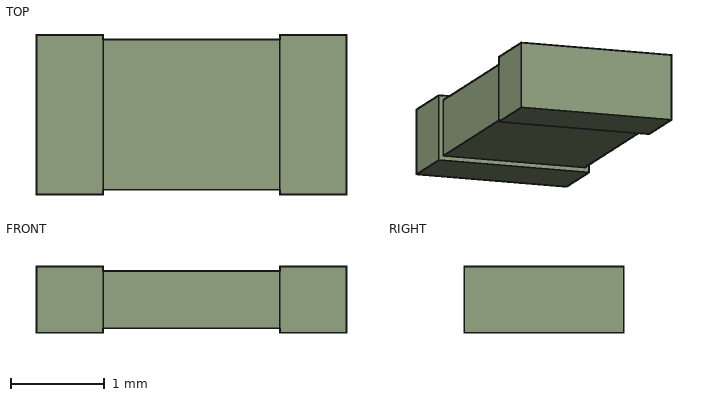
import cadquery as cq

length = 3.3
width = 1.7
height = 0.71

cap_length = 0.71
cap_step = 0.05

body_length = length - 2 * cap_length
body_width = width - 2 * cap_step
body_height = height - 2 * cap_step


def make_body():
    """Plain block that fills the space between the two end caps."""
    return cq.Workplane("XY").box(body_length, body_width, body_height)


def make_end_cap(side):
    """Terminal block at the -X end (side = -1) or the +X end (side = 1)."""
    center_x = side * (length - cap_length) / 2
    return cq.Workplane("XY").box(cap_length, width, height).translate((center_x, 0, 0))


body = make_body()
end_caps = [make_end_cap(side) for side in (-1, 1)]

result = cq.Compound.makeCompound([body.val(), *[cap.val() for cap in end_caps]])